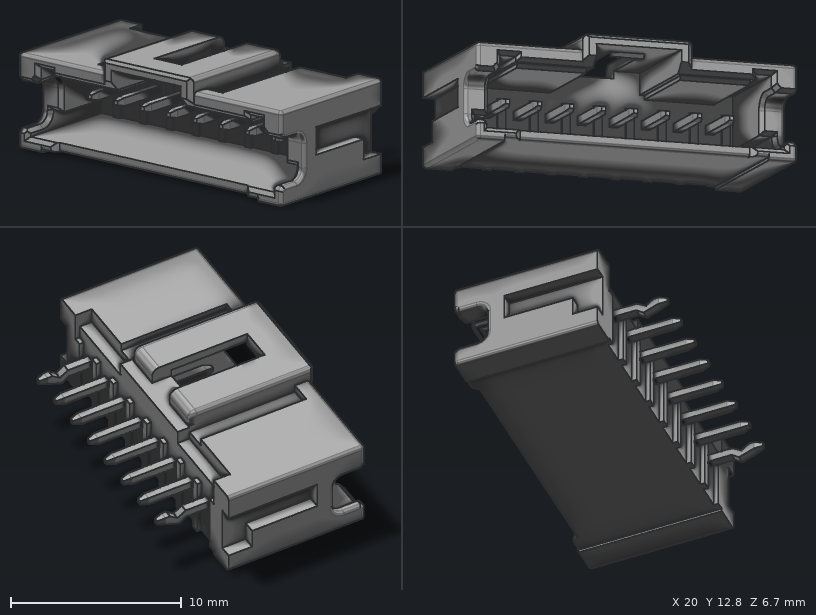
import cadquery as cq
import math


PIN_COUNT = 8
PITCH = 2.0
PIN_SIZE = 0.5
PIN_Z = 3.0
PIN_FRONT_Y = -6.25
PIN_REAR_Y = 3.2
PIN_TAPER = 0.5
PIN_TIP_SIZE = 0.26
KINK_DEPTH = 0.36
KINK_TOP_Y = (1.33, 1.89, 2.38)
KINK_BOTTOM_Y = (1.28, 1.75)

BODY_HALF_X = 10.0
BODY_LENGTH = 9.2
BODY_TOP = 5.82
BODY_EDGE_RADIUS = 0.22

CHANNEL_HALF_X = 3.4
CHANNEL_TOP = 6.7
CHANNEL_FRONT_Y = -9.55
CHANNEL_REAR_Y = -1.1
CHANNEL_EDGE = 0.3
CHANNEL_FRONT_EDGE = 0.2
CHANNEL_REAR_RADIUS = 0.5

FLOOR_Z = 0.75
BACK_WALL_Y = -2.4
FOOT_GUIDE_HALF_X = 9.28
FOOT_GUIDE_TOP = 1.94
SIDE_HALF_X = 8.48
SIDE_CEILING = 5.13
STEP_HALF_X = 7.48
CEILING = 4.81
KEYWAY_HALF_X = 2.65
KEYWAY_CEILING = 6.13
MOUTH_FLARE = 0.26

RIDGE_INNER_X = 2.94
RIDGE_OUTER_X = 7.26
RIDGE_DROP = 0.26
RIDGE_FRONT_Y = -8.7
RIB_WIDTH = 0.5
RIB_DEPTH = 0.17
RIB_TOP = 3.94

REAR_HALF_X = 8.24
REAR_WALL_Y = -0.3
REAR_LEDGE_Z = 4.8
SADDLE_Z = 5.68

WINDOW_HALF_X = 1.04
WINDOW_FRONT_Y = -7.5
CATCH_DROP = 0.26
CATCH_RUN = 0.18

POCKET_HALF_X = 4.74
POCKET_FRONT_Y = -8.2
POCKET_DEPTH = 0.5

NOTCH_Z = (1.22, 4.12)
NOTCH_Y = -7.07
NOTCH_RADIUS = 0.7
NOTCH_BEVEL = 0.26
RECESS_DEPTH = 0.77
RECESS_Z = (2.5, 4.2)
RECESS_FRONT_Y = -5.97
RECESS_STEP_Y = -1.58
RECESS_STEP_Z = 1.25

BASE_RELIEF = 0.19
FLOOR_SETBACK = 0.38
SETBACK_BACK_HALF_X = 7.16

BEVEL_GAP = 0.0003
OVER = 1.0


def block(x0, x1, y0, y1, z0, z1):
    return cq.Workplane("XY").box(x1 - x0, y1 - y0, z1 - z0, centered=False).translate((x0, y0, z0))


def along_x(points, x0, x1):
    """Prism along X from a (y, z) outline."""
    return cq.Workplane("YZ").polyline(points).close().extrude(x1 - x0).translate((x0, 0, 0))


def along_y(points, y0, y1):
    """Prism along Y from an (x, z) outline."""
    return cq.Workplane("XZ").polyline(points).close().extrude(y1 - y0).translate((0, y1, 0))


def along_z(points, z0, z1):
    """Prism along Z from an (x, y) outline."""
    return cq.Workplane("XY").polyline(points).close().extrude(z1 - z0).translate((0, 0, z0))


def mirrored(half):
    """Close a right-hand half outline with its mirror image about X = 0."""
    return half + [(-x, v) for x, v in reversed(half)]


def both_sides(shape):
    return shape.union(shape.mirror("YZ"))


def notch_slot(x0, x1, grow=0.0):
    """Round-cornered slot along X, open towards the mouth."""
    low, high = NOTCH_Z
    plate = block(x0, x1, -BODY_LENGTH - OVER, NOTCH_Y + grow, low - grow, high + grow)
    return plate.faces(">Y").edges("|X").fillet(NOTCH_RADIUS + grow)


def body():
    """Housing block with the side notches cut through and its outer edges rounded."""
    low, high = NOTCH_Z
    mouth = -BODY_LENGTH
    solid = block(-BODY_HALF_X, BODY_HALF_X, mouth, 0, 0, BODY_TOP)
    notch_lips = [
        (mouth, low - NOTCH_BEVEL),
        (mouth + NOTCH_BEVEL, low),
        (mouth + NOTCH_BEVEL, high),
        (mouth, high + NOTCH_BEVEL),
    ]
    solid = solid.cut(notch_slot(-BODY_HALF_X, BODY_HALF_X))
    solid = solid.cut(along_x(notch_lips, -BODY_HALF_X, BODY_HALF_X))
    side_edges = solid.faces("<X or >X").edges("not >Y")
    front_edges = solid.faces("<Y").edges("|X").edges("<Z or >Z")
    return solid.newObject(side_edges.vals() + front_edges.vals()).fillet(BODY_EDGE_RADIUS)


def channel():
    solid = block(-CHANNEL_HALF_X, CHANNEL_HALF_X, CHANNEL_FRONT_Y, CHANNEL_REAR_Y, CEILING, CHANNEL_TOP)
    solid = solid.faces(">Z").edges(">Y").fillet(CHANNEL_REAR_RADIUS)
    solid = solid.faces("<Y").edges("|Z").chamfer(CHANNEL_EDGE)
    solid = solid.faces("<Y").edges(">Z").chamfer(CHANNEL_FRONT_EDGE)
    return solid.faces(">Z").edges("|Y").fillet(CHANNEL_EDGE)


def cavity_outline(grow=0.0):
    """Cross-section of the cavity without the keyway, optionally grown outwards on every side."""
    return mirrored([
        (FOOT_GUIDE_HALF_X + grow, FLOOR_Z - grow),
        (FOOT_GUIDE_HALF_X + grow, FOOT_GUIDE_TOP + grow),
        (SIDE_HALF_X + grow, FOOT_GUIDE_TOP + grow),
        (SIDE_HALF_X + grow, SIDE_CEILING + grow),
        (STEP_HALF_X - grow, SIDE_CEILING + grow),
        (STEP_HALF_X - grow, CEILING + grow),
    ])


def loft_along_y(back_points, back_y, front_points, front_y):
    """Straight-sided loft between two (x, z) outlines with matching corners."""
    sections = [
        cq.Wire.makePolygon([cq.Vector(x, y, z) for x, z in points], close=True)
        for points, y in ((back_points, back_y), (front_points, front_y))
    ]
    return cq.Workplane(cq.Solid.makeLoft(sections, True))


def cavity_flare(start_y, end_y):
    """45 degree flare of the cavity outline, growing from start_y forward to end_y."""
    return loft_along_y(cavity_outline(), start_y, cavity_outline(start_y - end_y), end_y)


def cavity():
    hollow = along_y(cavity_outline(), -BODY_LENGTH, BACK_WALL_Y)
    keyway = block(
        -KEYWAY_HALF_X, KEYWAY_HALF_X, CHANNEL_FRONT_Y - OVER, BACK_WALL_Y, CEILING - OVER, KEYWAY_CEILING
    )
    return hollow.union(keyway).union(cavity_flare(MOUTH_FLARE - BODY_LENGTH, CHANNEL_FRONT_Y))


def rear_cutters():
    wall = block(-REAR_HALF_X, REAR_HALF_X, REAR_WALL_Y, OVER, -OVER, BODY_TOP + OVER)
    saddle = block(-CHANNEL_HALF_X, CHANNEL_HALF_X, CHANNEL_REAR_Y, OVER, SADDLE_Z, BODY_TOP + OVER)
    ledge = block(CHANNEL_HALF_X, REAR_HALF_X, CHANNEL_REAR_Y, OVER, REAR_LEDGE_Z, BODY_TOP + OVER)
    return wall.union(saddle).union(both_sides(ledge))


def window():
    opening = block(
        -WINDOW_HALF_X, WINDOW_HALF_X, WINDOW_FRONT_Y, BACK_WALL_Y, KEYWAY_CEILING - OVER, CHANNEL_TOP + OVER
    )
    groove = block(-WINDOW_HALF_X, WINDOW_HALF_X, BACK_WALL_Y, OVER, SADDLE_Z, CHANNEL_TOP + OVER)
    return opening.union(groove)


def catch():
    wedge = [
        (WINDOW_FRONT_Y, KEYWAY_CEILING),
        (WINDOW_FRONT_Y, KEYWAY_CEILING - CATCH_DROP),
        (WINDOW_FRONT_Y - CATCH_RUN, KEYWAY_CEILING),
    ]
    return along_x(wedge, -WINDOW_HALF_X, WINDOW_HALF_X)


def top_pockets():
    floor_z = BODY_TOP - POCKET_DEPTH
    pocket = block(
        CHANNEL_HALF_X, POCKET_HALF_X, POCKET_FRONT_Y, CHANNEL_REAR_Y, floor_z, BODY_TOP + OVER
    )
    return both_sides(pocket)


def notch_inner_bevel(face_x):
    """Bevel of the notch edge on the right-hand cavity wall at face_x."""
    slot = notch_slot(face_x, face_x + NOTCH_BEVEL, NOTCH_BEVEL)
    return slot.faces(">X").chamfer(NOTCH_BEVEL - BEVEL_GAP)


def notch_corner_facet():
    """Facet where the notch bevel and the flare meet at the mouth above the notch."""
    high = NOTCH_Z[1]

    def triangle(shift):
        corner_x = SIDE_HALF_X + shift
        corner_z = high + shift
        return [
            (corner_x, corner_z),
            (corner_x + NOTCH_BEVEL, corner_z),
            (corner_x, corner_z + NOTCH_BEVEL),
        ]

    mouth = -BODY_LENGTH
    return loft_along_y(triangle(0), mouth + NOTCH_BEVEL, triangle(NOTCH_BEVEL), mouth)


def notch_inner_edges():
    low, high = NOTCH_Z
    mouth = -BODY_LENGTH
    upper = block(0, BODY_HALF_X, mouth - OVER, 0, FOOT_GUIDE_TOP, BODY_TOP)
    lower = block(0, BODY_HALF_X, mouth - OVER, 0, 0, FOOT_GUIDE_TOP)
    step_zone = block(SIDE_HALF_X, BODY_HALF_X, mouth, 0, low + NOTCH_RADIUS, high - NOTCH_RADIUS)
    step_flare = cavity_flare(NOTCH_Y + MOUTH_FLARE, NOTCH_Y).intersect(step_zone)
    cutter = notch_inner_bevel(SIDE_HALF_X).intersect(upper)
    cutter = cutter.union(notch_inner_bevel(FOOT_GUIDE_HALF_X).intersect(lower))
    return both_sides(cutter.union(step_flare).union(notch_corner_facet()))


def side_recesses():
    low, high = RECESS_Z
    outline = [
        (0, high),
        (RECESS_FRONT_Y, high),
        (RECESS_FRONT_Y, low),
        (RECESS_STEP_Y, low),
        (RECESS_STEP_Y, RECESS_STEP_Z),
        (0, RECESS_STEP_Z),
    ]
    return both_sides(along_x(outline, BODY_HALF_X - RECESS_DEPTH, BODY_HALF_X))


def base_relief():
    front = -BODY_LENGTH

    def rounded_relief(edge_y, half_x):
        """Shallow relief that leaves a rounded lower edge on the floor at edge_y."""
        mid = BASE_RELIEF * (1 - math.sqrt(0.5))
        outline = (
            cq.Workplane("YZ", origin=(-half_x, 0, 0))
            .moveTo(0, 0)
            .lineTo(edge_y, 0)
            .lineTo(edge_y, 2 * BASE_RELIEF)
            .threePointArc((edge_y + mid, BASE_RELIEF + mid), (edge_y + BASE_RELIEF, BASE_RELIEF))
            .lineTo(0, BASE_RELIEF)
            .close()
        )
        return outline.extrude(2 * half_x)

    setback = mirrored([
        (SETBACK_BACK_HALF_X + FLOOR_SETBACK, front),
        (SETBACK_BACK_HALF_X, front + FLOOR_SETBACK),
    ])
    return (
        rounded_relief(front, REAR_HALF_X)
        .union(rounded_relief(front + FLOOR_SETBACK, SETBACK_BACK_HALF_X))
        .union(along_z(setback, 0, FLOOR_Z))
    )


def ceiling_ridges():
    low = CEILING - RIDGE_DROP
    outline = [
        (RIDGE_FRONT_Y, CEILING),
        (RIDGE_FRONT_Y + RIDGE_DROP, low),
        (BACK_WALL_Y, low),
        (BACK_WALL_Y, CEILING),
    ]
    return both_sides(along_x(outline, RIDGE_INNER_X, RIDGE_OUTER_X))


def wall_ribs():
    """Ribs midway between the pins, on both faces of the back wall."""
    ribs = cq.Workplane("XY")
    for i in range(PIN_COUNT + 1):
        x = (i - PIN_COUNT / 2) * PITCH
        left = x - RIB_WIDTH / 2
        right = x + RIB_WIDTH / 2
        ribs = ribs.union(block(left, right, BACK_WALL_Y - RIB_DEPTH, BACK_WALL_Y, FLOOR_Z, RIB_TOP))
        ribs = ribs.union(block(left, right, REAR_WALL_Y, 0, BASE_RELIEF, RIB_TOP))
    return ribs


def pin(x, kinked):
    half = PIN_SIZE / 2
    shank_front = PIN_FRONT_Y + PIN_TAPER
    shank_rear = PIN_REAR_Y - PIN_TAPER
    low = PIN_Z - half
    high = PIN_Z + half
    outline = [(shank_front, low), (shank_front, high), (shank_rear, high), (shank_rear, low)]
    if kinked:
        top_start, top_dip, top_end = KINK_TOP_Y
        bottom_start, bottom_dip = KINK_BOTTOM_Y
        outline = [
            (shank_front, low),
            (shank_front, high),
            (top_start, high),
            (top_dip, high - KINK_DEPTH),
            (top_end, high),
            (shank_rear, high),
            (shank_rear, low),
            (bottom_dip, low - KINK_DEPTH),
            (bottom_start, low),
        ]
    shank = along_x(outline, x - half, x + half)

    def tip(y, direction):
        start = cq.Workplane("XZ", origin=(x, y, PIN_Z)).rect(PIN_SIZE, PIN_SIZE)
        return start.workplane(offset=-direction * PIN_TAPER).rect(PIN_TIP_SIZE, PIN_TIP_SIZE).loft()

    return shank.union(tip(shank_front, -1)).union(tip(shank_rear, 1))


def pins():
    row = cq.Workplane("XY")
    for i in range(PIN_COUNT):
        x = (i - (PIN_COUNT - 1) / 2) * PITCH
        row = row.union(pin(x, kinked=i in (0, PIN_COUNT - 1)))
    return row


cutters = [
    cavity(),
    rear_cutters(),
    window(),
    top_pockets(),
    notch_inner_edges(),
    side_recesses(),
    base_relief(),
]
additions = [ceiling_ridges(), wall_ribs(), catch(), pins()]

housing = body().union(channel())
for cutter in cutters:
    housing = housing.cut(cutter)
for addition in additions:
    housing = housing.union(addition)

result = housing